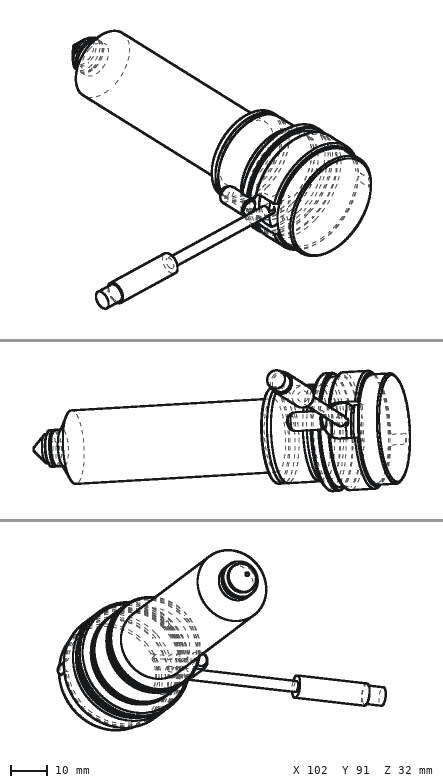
import cadquery as cq
OVERALL_LENGTH = 102.0

TIP_FLAT_RADIUS = 0.5
TIP_CONE_END = 3.5
TIP_NECK_RADIUS = 4.0
TIP_NECK_END = 4.3
COLLAR_START = 4.8
COLLAR_RADIUS = 5.0
COLLAR_END = 8.3
COLLAR_GROOVE_START = 5.8
COLLAR_GROOVE_WIDTH = 0.5

BARREL_START = 11.2
BARREL_RADIUS = 10.0
SLEEVE_START = 68.1
SLEEVE_RADIUS = 13.2
SLEEVE_CHAMFER = 0.3
SLEEVE_GROOVE_STARTS = (69.9, 80.0)
SLEEVE_GROOVE_WIDTH = 1.1

RIM_RADIUS = 16.0
WAIST_RADIUS = 15.0
FLANGE_START = 82.8
FLANGE_END = 85.5
REAR_COLLAR_START = 87.8
REAR_COLLAR_END = 96.0
RIM_CHAMFER = 0.6
FLANGE_REAR_CHAMFER = 0.3
GROOVE_DEPTH = 0.1

CAP_RADIUS = WAIST_RADIUS
CAP_FRONT_CHAMFER = 0.4
CAP_REAR_CHAMFER = 0.5
KEY_RADIUS = 1.7
KEY_REACH = 15.7
KEY_END = 100.6

CABLE_X = 91.2
SLOT_RADIUS = 5.0
SLOT_LEDGE_RADIUS = 14.2
SLOT_LEDGE_END = 88.5
SLOT_FLOOR_RADIUS = 14.5
SLOT_FLOOR_END = 92.6
POCKET_FLOOR_RADIUS = 11.0
POCKET_CONE_END = 93.6

CABLE_RADIUS = 1.5
CABLE_HOLE_DEPTH = 2.0
PLUG_BODY_START = 49.9
PLUG_BODY_RADIUS = 3.1
PLUG_NOSE_START = 70.1
PLUG_NOSE_RADIUS = 2.5
PLUG_END = 75.0

PIN_OFFSET = 16.7
PIN_RADIUS = 2.5
PIN_TIP = 76.5
PIN_SHOULDER_START = 77.4
PIN_SHOULDER_RADIUS = 1.8
PIN_BAND_START = 78.3
PIN_BAND_END = 79.0
PIN_BAND_RADIUS = 2.4
PIN_END = 87.2
PIN_END_CHAMFER = 0.4


def turned(points, axis_y=0.0):
    """Solid turned about the line y = axis_y, z = 0 from (x, radius) points."""
    outline = cq.Workplane("XY").polyline([(x, axis_y + radius) for x, radius in points]).close()
    return outline.revolve(360, (0, axis_y, 0), (1, axis_y, 0))


def ring_groove(start, width, radius):
    """Shallow ring that cuts a groove into a cylinder of the given radius."""
    inner = radius - GROOVE_DEPTH
    outer = radius + GROOVE_DEPTH
    end = start + width
    return turned([(start, inner), (end, inner), (end, outer), (start, outer)])


def rod(x, start, end, radius):
    """Cylinder along -Y between two distances from the X axis."""
    return cq.Workplane("XZ", origin=(x, -start, 0)).circle(radius).extrude(end - start)


def make_slot():
    """Round-ended slot, open at the rear, that stops on a stepped turned floor."""
    length = REAR_COLLAR_END - CABLE_X
    slot = rod(CABLE_X, 0, RIM_RADIUS + 1, SLOT_RADIUS)
    straight = cq.Workplane("XY").box(
        length, RIM_RADIUS + 1, 2 * SLOT_RADIUS, centered=(False, False, True)
    )
    slot = slot.union(straight.translate((CABLE_X, -RIM_RADIUS - 1, 0)))
    floor = turned([
        (FLANGE_END, 0),
        (FLANGE_END, SLOT_LEDGE_RADIUS),
        (SLOT_LEDGE_END, SLOT_LEDGE_RADIUS),
        (SLOT_LEDGE_END, SLOT_FLOOR_RADIUS),
        (SLOT_FLOOR_END, SLOT_FLOOR_RADIUS),
        (SLOT_FLOOR_END, BARREL_RADIUS),
        (POCKET_CONE_END, POCKET_FLOOR_RADIUS),
        (REAR_COLLAR_END, POCKET_FLOOR_RADIUS),
        (REAR_COLLAR_END, 0),
    ])
    return slot.cut(floor)


def make_pin():
    return turned([
        (PIN_TIP, 0),
        (PIN_SHOULDER_START, PIN_SHOULDER_RADIUS),
        (PIN_BAND_START, PIN_BAND_RADIUS),
        (PIN_BAND_END, PIN_RADIUS),
        (PIN_END - PIN_END_CHAMFER, PIN_RADIUS),
        (PIN_END, PIN_RADIUS - PIN_END_CHAMFER),
        (PIN_END, 0),
    ], -PIN_OFFSET)


def make_cable():
    cable = rod(CABLE_X, SLOT_FLOOR_RADIUS - CABLE_HOLE_DEPTH, PLUG_BODY_START, CABLE_RADIUS)
    plug_body = rod(CABLE_X, PLUG_BODY_START, PLUG_NOSE_START, PLUG_BODY_RADIUS)
    plug_nose = rod(CABLE_X, PLUG_NOSE_START, PLUG_END, PLUG_NOSE_RADIUS)
    return cable.union(plug_body).union(plug_nose)


def make_housing(pin, cable):
    housing = turned([
        (0, 0),
        (0, TIP_FLAT_RADIUS),
        (TIP_CONE_END, TIP_NECK_RADIUS),
        (TIP_NECK_END, TIP_NECK_RADIUS),
        (COLLAR_START, COLLAR_RADIUS),
        (COLLAR_END, COLLAR_RADIUS),
        (BARREL_START, BARREL_RADIUS),
        (SLEEVE_START, BARREL_RADIUS),
        (SLEEVE_START, SLEEVE_RADIUS - SLEEVE_CHAMFER),
        (SLEEVE_START + SLEEVE_CHAMFER, SLEEVE_RADIUS),
        (FLANGE_START - SLEEVE_CHAMFER, SLEEVE_RADIUS),
        (FLANGE_START, SLEEVE_RADIUS - SLEEVE_CHAMFER),
        (FLANGE_START, RIM_RADIUS - RIM_CHAMFER),
        (FLANGE_START + RIM_CHAMFER, RIM_RADIUS),
        (FLANGE_END - FLANGE_REAR_CHAMFER, RIM_RADIUS),
        (FLANGE_END, RIM_RADIUS - FLANGE_REAR_CHAMFER),
        (FLANGE_END, WAIST_RADIUS),
        (REAR_COLLAR_START, WAIST_RADIUS),
        (REAR_COLLAR_START, RIM_RADIUS - RIM_CHAMFER),
        (REAR_COLLAR_START + RIM_CHAMFER, RIM_RADIUS),
        (REAR_COLLAR_END - RIM_CHAMFER, RIM_RADIUS),
        (REAR_COLLAR_END, RIM_RADIUS - RIM_CHAMFER),
        (REAR_COLLAR_END, 0),
    ])
    housing = housing.cut(ring_groove(COLLAR_GROOVE_START, COLLAR_GROOVE_WIDTH, COLLAR_RADIUS))
    for start in SLEEVE_GROOVE_STARTS:
        housing = housing.cut(ring_groove(start, SLEEVE_GROOVE_WIDTH, SLEEVE_RADIUS))
    return housing.cut(make_slot()).cut(pin).cut(cable)


def make_cap():
    cap = turned([
        (REAR_COLLAR_END, 0),
        (REAR_COLLAR_END, CAP_RADIUS - CAP_FRONT_CHAMFER),
        (REAR_COLLAR_END + CAP_FRONT_CHAMFER, CAP_RADIUS),
        (OVERALL_LENGTH - CAP_REAR_CHAMFER, CAP_RADIUS),
        (OVERALL_LENGTH, CAP_RADIUS - CAP_REAR_CHAMFER),
        (OVERALL_LENGTH, 0),
    ])
    key = cq.Workplane("YZ", origin=(REAR_COLLAR_END, KEY_REACH - KEY_RADIUS, 0))
    return cap.union(key.circle(KEY_RADIUS).extrude(KEY_END - REAR_COLLAR_END))


pin = make_pin()
cable = make_cable()
housing = make_housing(pin, cable)
cap = make_cap()

result = cq.Compound.makeCompound([housing.val(), cap.val(), pin.val(), cable.val()])